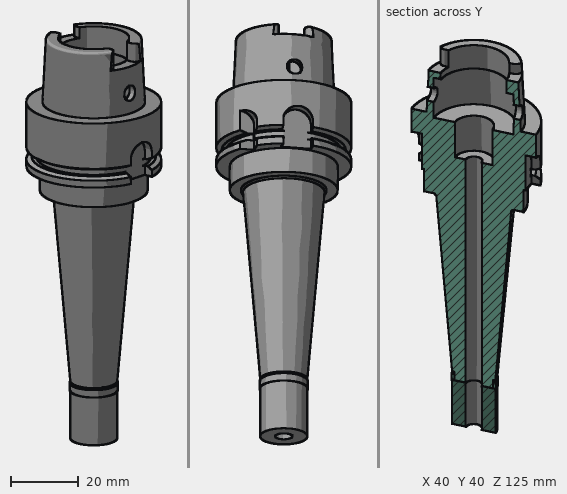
import cadquery as cq
import math


OVERALL_LENGTH = 125.0
OVERCUT = 1.0

NOSE_RADIUS = 7.0
NUT_LENGTH = 15.0
RING_HEIGHT = 2.3
RING_RADIUS = 7.15
RING_GAP = 0.6
SPIGOT_RADIUS = 6.3
ring_top = NUT_LENGTH + RING_HEIGHT
neck_bottom = ring_top + RING_GAP

SHANK_LENGTH = 20.0
SHANK_BASE_RADIUS = 15.2
SHANK_TAPER = 1 / 10
SHANK_END_FILLET = 0.8
flange_top = OVERALL_LENGTH - SHANK_LENGTH
shank_end_radius = SHANK_BASE_RADIUS - SHANK_LENGTH * SHANK_TAPER / 2

FLANGE_HEIGHT = 20.0
FLANGE_RADIUS = 20.0
GROOVE_RADIUS = 17.0
GROOVE_FLOOR_HEIGHT = 2.1
GROOVE_FLANK_HEIGHT = 0.8
GROOVE_FLANK_DEPTH = 1.4
GROOVE_CENTRE_OFFSET = 4.0
flange_bottom = flange_top - FLANGE_HEIGHT
groove_centre = flange_bottom + GROOVE_CENTRE_OFFSET
groove_floor_low = groove_centre - GROOVE_FLOOR_HEIGHT / 2
groove_floor_high = groove_centre + GROOVE_FLOOR_HEIGHT / 2
groove_flank_radius = GROOVE_RADIUS + GROOVE_FLANK_DEPTH

COLLAR_RADIUS = 16.0
COLLAR_HEIGHT = 7.5
NECK_TOP_RADIUS = 12.1
NECK_FLARE = 0.6
collar_bottom = flange_bottom - COLLAR_HEIGHT

MOUTH_RADIUS = 10.5
MOUTH_DEPTH = 8.0
CLAMP_RADIUS = 12.75
CAVITY_DEPTH = 21.5
TUBE_RADIUS = 6.0
TUBE_DEPTH = 12.0
COOLANT_RADIUS = 2.55
mouth_bottom = OVERALL_LENGTH - MOUTH_DEPTH
cavity_floor = OVERALL_LENGTH - CAVITY_DEPTH
tube_floor = cavity_floor - TUBE_DEPTH

NOTCH_WIDTH = 8.0
NOTCH_CORNER_RADIUS = 2.0
NOTCH_LAND_X = 13.0
NOTCH_DEPTH_MINUS_X = 3.4
NOTCH_DEPTH_PLUS_X = 5.7

CROSS_HOLE_RADIUS = 2.3
CROSS_HOLE_DROP = 13.8

SLOT_RADIUS = 4.5
SLOT_HEIGHT = 12.0
DRIVE_SLOT_FLOOR_X = 16.6
SIDE_SLOT_FLOOR_X = 12.1
SIDE_SLOT_Y = 16.2


def tube(outer_radius, inner_radius, bottom, top):
    """Hollow cylinder on the part axis."""
    return (
        cq.Workplane("XY", origin=(0, 0, bottom))
        .circle(outer_radius)
        .circle(inner_radius)
        .extrude(top - bottom)
    )


def holder_blank():
    """Turned outside of the holder, from the spigot up to the shank end."""
    profile = [
        (0, NUT_LENGTH),
        (SPIGOT_RADIUS, NUT_LENGTH),
        (SPIGOT_RADIUS, neck_bottom),
        (NOSE_RADIUS, neck_bottom),
        (NECK_TOP_RADIUS, collar_bottom - NECK_FLARE),
        (NECK_TOP_RADIUS + NECK_FLARE, collar_bottom),
        (COLLAR_RADIUS, collar_bottom),
        (COLLAR_RADIUS, flange_bottom),
        (FLANGE_RADIUS, flange_bottom),
        (FLANGE_RADIUS, groove_floor_low - GROOVE_FLANK_HEIGHT),
        (groove_flank_radius, groove_floor_low),
        (GROOVE_RADIUS, groove_floor_low),
        (GROOVE_RADIUS, groove_floor_high),
        (groove_flank_radius, groove_floor_high),
        (FLANGE_RADIUS, groove_floor_high + GROOVE_FLANK_HEIGHT),
        (FLANGE_RADIUS, flange_top),
        (SHANK_BASE_RADIUS, flange_top),
        (shank_end_radius, OVERALL_LENGTH),
        (0, OVERALL_LENGTH),
    ]
    blank = cq.Workplane("XZ").polyline(profile).close().revolve(360, (0, 0), (0, 1))
    return blank.faces(">Z").edges().fillet(SHANK_END_FILLET)


def bore():
    """Clamping cavity, coolant tube seat and coolant hole as one turned cutter."""
    profile = [
        (0, NUT_LENGTH),
        (COOLANT_RADIUS, NUT_LENGTH),
        (COOLANT_RADIUS, tube_floor),
        (TUBE_RADIUS, tube_floor),
        (TUBE_RADIUS, cavity_floor),
        (CLAMP_RADIUS, cavity_floor),
        (CLAMP_RADIUS, mouth_bottom),
        (MOUTH_RADIUS, mouth_bottom),
        (MOUTH_RADIUS, OVERALL_LENGTH),
        (0, OVERALL_LENGTH),
    ]
    return cq.Workplane("XZ").polyline(profile).close().revolve(360, (0, 0), (0, 1))


def drive_notch(side, depth):
    """Notch in the shank end whose mouth flares with round corners; side is -1 or +1 along X."""
    half_width = NOTCH_WIDTH / 2
    flare_half_width = half_width + NOTCH_CORNER_RADIUS
    corner_start_x = side * (NOTCH_LAND_X - NOTCH_CORNER_RADIUS)
    land_x = side * NOTCH_LAND_X
    outer_x = side * (SHANK_BASE_RADIUS + OVERCUT)
    mid_x = corner_start_x + side * NOTCH_CORNER_RADIUS * math.sin(math.pi / 4)
    mid_y = flare_half_width - NOTCH_CORNER_RADIUS * math.cos(math.pi / 4)
    return (
        cq.Workplane("XY", origin=(0, 0, OVERALL_LENGTH - depth))
        .moveTo(0, -half_width)
        .lineTo(corner_start_x, -half_width)
        .threePointArc((mid_x, -mid_y), (land_x, -flare_half_width))
        .lineTo(land_x, -SHANK_BASE_RADIUS)
        .lineTo(outer_x, -SHANK_BASE_RADIUS)
        .lineTo(outer_x, SHANK_BASE_RADIUS)
        .lineTo(land_x, SHANK_BASE_RADIUS)
        .lineTo(land_x, flare_half_width)
        .threePointArc((mid_x, mid_y), (corner_start_x, half_width))
        .lineTo(0, half_width)
        .close()
        .extrude(depth + OVERCUT)
    )


def flange_slot(side, floor_x, centre_y):
    """Slot open at the lower face of the flange, with a round upper end and a floor square to X."""
    arch_centre_z = flange_bottom + SLOT_HEIGHT - SLOT_RADIUS
    return (
        cq.Workplane("YZ", origin=(side * floor_x, 0, 0))
        .moveTo(centre_y - SLOT_RADIUS, flange_bottom)
        .lineTo(centre_y - SLOT_RADIUS, arch_centre_z)
        .threePointArc(
            (centre_y, arch_centre_z + SLOT_RADIUS),
            (centre_y + SLOT_RADIUS, arch_centre_z),
        )
        .lineTo(centre_y + SLOT_RADIUS, flange_bottom)
        .close()
        .extrude(side * (FLANGE_RADIUS + OVERCUT - floor_x))
    )


def cross_hole():
    """Hole along X through both walls of the shank."""
    return (
        cq.Workplane("YZ")
        .center(0, OVERALL_LENGTH - CROSS_HOLE_DROP)
        .circle(CROSS_HOLE_RADIUS)
        .extrude(SHANK_BASE_RADIUS + OVERCUT, both=True)
    )


holder = (
    holder_blank()
    .cut(bore())
    .cut(drive_notch(-1, NOTCH_DEPTH_MINUS_X))
    .cut(drive_notch(1, NOTCH_DEPTH_PLUS_X))
    .cut(cross_hole())
    .cut(flange_slot(-1, SIDE_SLOT_FLOOR_X, SIDE_SLOT_Y))
)
for side in (-1, 1):
    holder = holder.cut(flange_slot(side, DRIVE_SLOT_FLOOR_X, 0))

spacer_ring = tube(RING_RADIUS, SPIGOT_RADIUS, NUT_LENGTH, ring_top)
nut = tube(NOSE_RADIUS, COOLANT_RADIUS, 0, NUT_LENGTH)

result = cq.Compound.makeCompound([holder.val(), spacer_ring.val(), nut.val()])